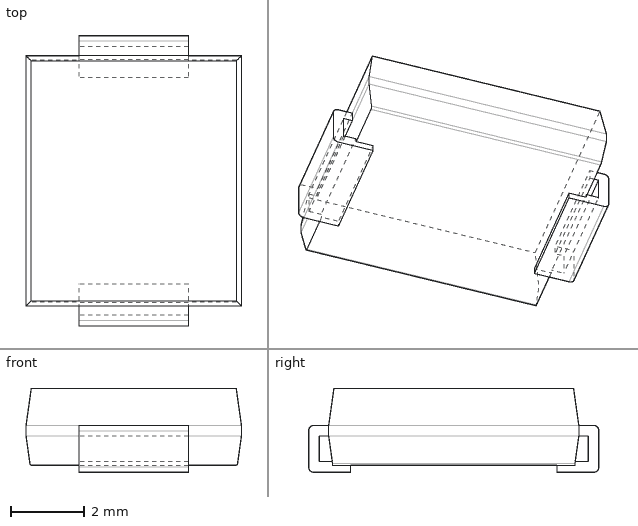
import cadquery as cq

body_width = 5.9
body_length = 6.85
body_bottom = 0.19
body_top = 2.3
draft_angle = 8.0
bottom_edge_radius = 0.07

lead_span = 7.95
lead_width = 3.0
lead_thickness = 0.3
lead_top = 1.29
foot_length = 1.15
bend_radius = 0.15

band_top = lead_top
band_bottom = lead_top - lead_thickness


def make_body():
    """Straight parting band with a drafted block above and below it."""
    band = (
        cq.Workplane("XY", origin=(0, 0, band_bottom))
        .rect(body_width, body_length)
        .extrude(lead_thickness)
    )
    upper = (
        cq.Workplane("XY", origin=(0, 0, band_top))
        .rect(body_width, body_length)
        .extrude(body_top - band_top, taper=draft_angle)
    )
    lower = (
        cq.Workplane("XY", origin=(0, 0, band_bottom))
        .rect(body_width, body_length)
        .extrude(body_bottom - band_bottom, taper=draft_angle)
        .faces("<Z")
        .edges("|Y")
        .fillet(bottom_edge_radius)
    )
    return band.union(upper).union(lower)


def make_lead():
    """C-shaped strip at the -Y end, its top arm ending inside the body."""
    outer_y = -lead_span / 2
    inner_y = outer_y + lead_thickness
    tip_y = outer_y + foot_length
    return (
        cq.Workplane("YZ", origin=(-lead_width / 2, 0, 0))
        .moveTo(tip_y, 0)
        .lineTo(outer_y, 0)
        .lineTo(outer_y, lead_top)
        .lineTo(tip_y, lead_top)
        .lineTo(tip_y, band_bottom)
        .lineTo(inner_y, band_bottom)
        .lineTo(inner_y, lead_thickness)
        .lineTo(tip_y, lead_thickness)
        .close()
        .extrude(lead_width)
        .faces("<Y")
        .edges("|X")
        .fillet(bend_radius)
    )


front_lead = make_lead()
back_lead = front_lead.mirror("XZ")

result = make_body().union(front_lead).union(back_lead)